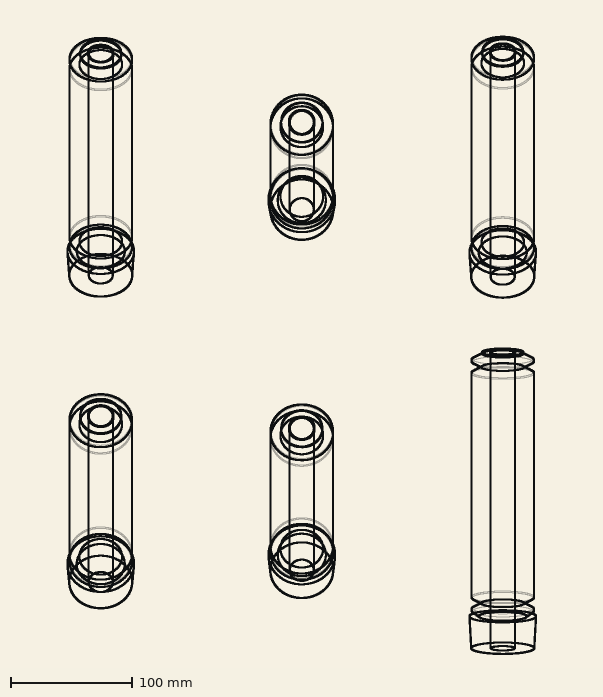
import math

import cadquery as cq

total_height = 248.5
body_radius = 52.0 / 2

foot_height = 26.9
foot_top_radius = 55.2 / 2
foot_bottom_radius = 26.0

groove_root_radius = 17.7
groove_half_width = 4.7
lower_groove_height = 37.8
upper_groove_height = 236.2
neck_radius = 20.0
body_rim_fillet = 1.2

disc_rim_radius = 1.5
disc_rim_half_angle = math.radians(60)
disc_offset = 5.5
lower_disc_height = lower_groove_height - disc_offset
upper_disc_height = upper_groove_height + disc_offset

land_radius = 34.0 / 2
land_height = 1.2
bore_diameter = 20.0
bore_mouth_diameter = 21.5
bore_mouth_depth = 0.2


def add_disc_rim(profile, height):
    """Draw a line to a disc rim, then follow the rim's arc upward."""
    edge_radius = body_radius - disc_rim_radius * (1 - math.cos(disc_rim_half_angle))
    half_thickness = disc_rim_radius * math.sin(disc_rim_half_angle)
    return profile.lineTo(edge_radius, height - half_thickness).threePointArc(
        (body_radius, height),
        (edge_radius, height + half_thickness),
    )


profile = cq.Workplane("XZ").moveTo(0, foot_height).lineTo(neck_radius, foot_height)
profile = add_disc_rim(profile, lower_disc_height)
profile = (
    profile.lineTo(groove_root_radius, lower_groove_height)
    .lineTo(body_radius, lower_groove_height + groove_half_width)
    .lineTo(body_radius, upper_groove_height - groove_half_width)
    .lineTo(groove_root_radius, upper_groove_height)
)
profile = add_disc_rim(profile, upper_disc_height)
profile = (
    profile.lineTo(land_radius, total_height - land_height)
    .lineTo(land_radius, total_height)
    .lineTo(0, total_height)
    .close()
)
column = profile.revolve(360, (0, 0), (0, 1))

body_face = cq.selectors.BoxSelector(
    (-body_radius, -body_radius, lower_groove_height),
    (body_radius, body_radius, upper_groove_height),
)
column = column.faces("%CYLINDER").faces(body_face).edges("%CIRCLE").fillet(body_rim_fillet)

foot = (
    cq.Workplane("XY")
    .circle(foot_bottom_radius)
    .workplane(offset=foot_height)
    .circle(foot_top_radius)
    .loft()
)

bore = cq.Workplane("XY").circle(bore_diameter / 2).extrude(total_height)
bore_mouth = (
    cq.Workplane("XY", origin=(0, 0, total_height - bore_mouth_depth))
    .circle(bore_mouth_diameter / 2)
    .extrude(bore_mouth_depth)
)

result = column.union(foot).cut(bore).cut(bore_mouth)